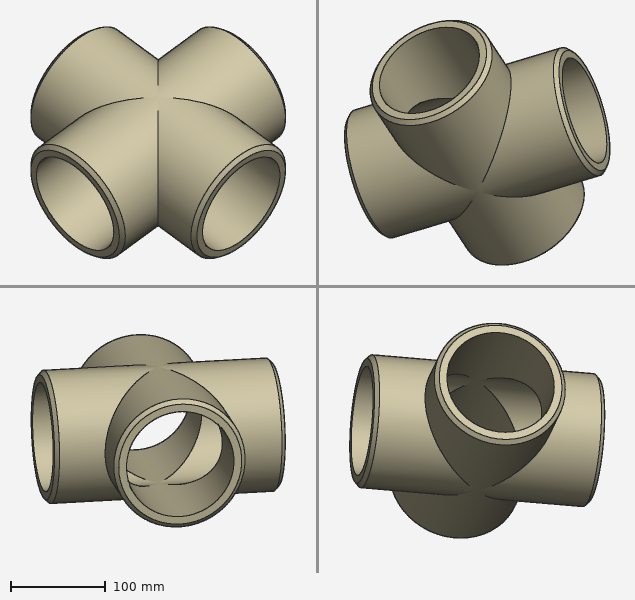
import cadquery as cq

length = 248.0
outer_diameter = 141.0
bore_diameter = 115.5
end_chamfer = 4.5


def cylinder_along(plane, diameter):
    """Full-length cylinder centred on the origin, normal to the plane."""
    return cq.Workplane(plane).circle(diameter / 2).extrude(length / 2, both=True)


def chamfered_pipe(plane):
    """Solid pipe body with both outer end edges chamfered."""
    return cylinder_along(plane, outer_diameter).edges("%CIRCLE").chamfer(end_chamfer)


body = chamfered_pipe("YZ").union(chamfered_pipe("XZ"))

for bore_plane in ("YZ", "XZ"):
    body = body.cut(cylinder_along(bore_plane, bore_diameter))

result = body